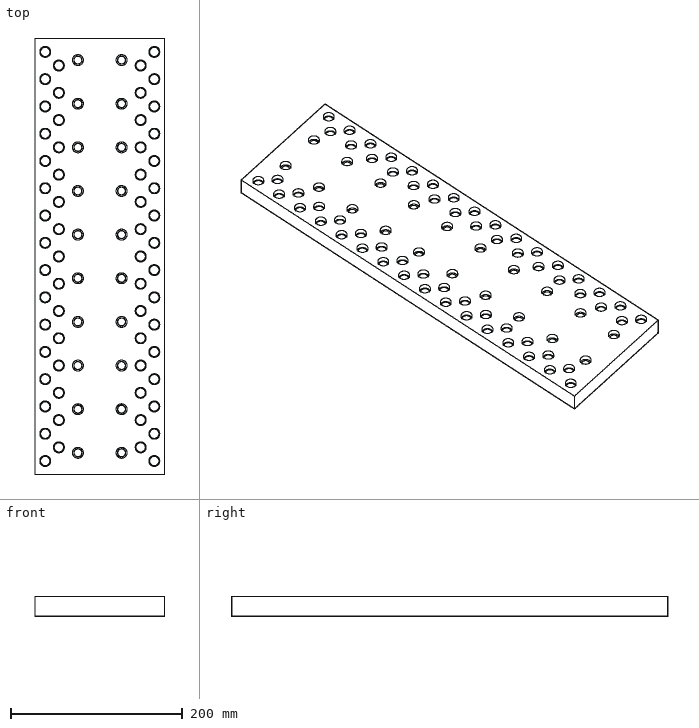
import cadquery as cq

plate_width = 151.13
plate_length = 508.0
plate_thickness = 23.37

bore_diameter = 12.71
bore_depth = 6.35

edge_hole_diameter = 10.81
edge_pitch = 31.75
outer_row_x = 2 * edge_pitch
outer_row_count = 16
inner_row_x = outer_row_x - edge_pitch / 2
inner_row_count = outer_row_count - 1

center_hole_diameter = 9.0
center_pitch = 50.8
center_row_x = center_pitch / 2
center_row_count = 10


def paired_rows(row_x, pitch, count):
    """Points of two rows parallel to Y, mirrored about the YZ plane."""
    first_y = -pitch * (count - 1) / 2
    return [(side * row_x, first_y + i * pitch) for side in (-1, 1) for i in range(count)]


def drill(points, diameter, depth):
    """Cylinders reaching down from the top face."""
    return (
        cq.Workplane("XY")
        .workplane(offset=plate_thickness / 2 - depth)
        .pushPoints(points)
        .circle(diameter / 2)
        .extrude(depth)
    )


def stepped_holes(points, hole_diameter):
    """Through holes with a counterbore sunk from the top face."""
    through = drill(points, hole_diameter, plate_thickness)
    return through.union(drill(points, bore_diameter, bore_depth))


edge_points = (
    paired_rows(outer_row_x, edge_pitch, outer_row_count)
    + paired_rows(inner_row_x, edge_pitch, inner_row_count)
)
center_points = paired_rows(center_row_x, center_pitch, center_row_count)

plate = cq.Workplane("XY").box(plate_width, plate_length, plate_thickness)
plate = plate.cut(stepped_holes(edge_points, edge_hole_diameter))
result = plate.cut(stepped_holes(center_points, center_hole_diameter))